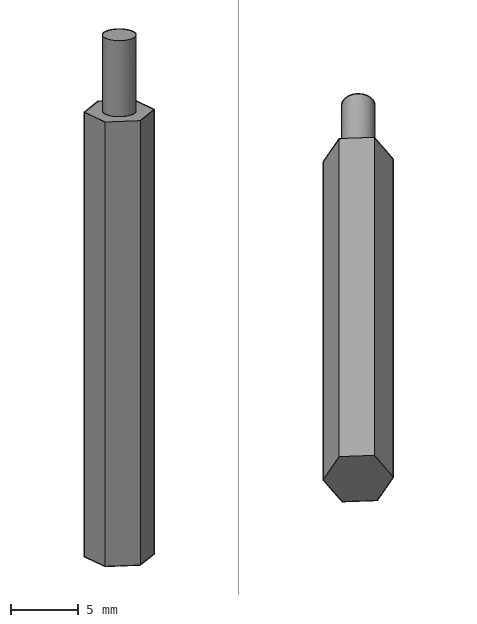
import cadquery as cq
import math

total_height = 41.0
stud_length = 6.0
stud_diameter = 2.5
across_flats = 4.5

hex_height = total_height - stud_length
across_corners = across_flats / math.cos(math.radians(30))

body = cq.Workplane("XY").polygon(6, across_corners).extrude(hex_height)

result = body.faces(">Z").workplane().circle(stud_diameter / 2).extrude(stud_length)